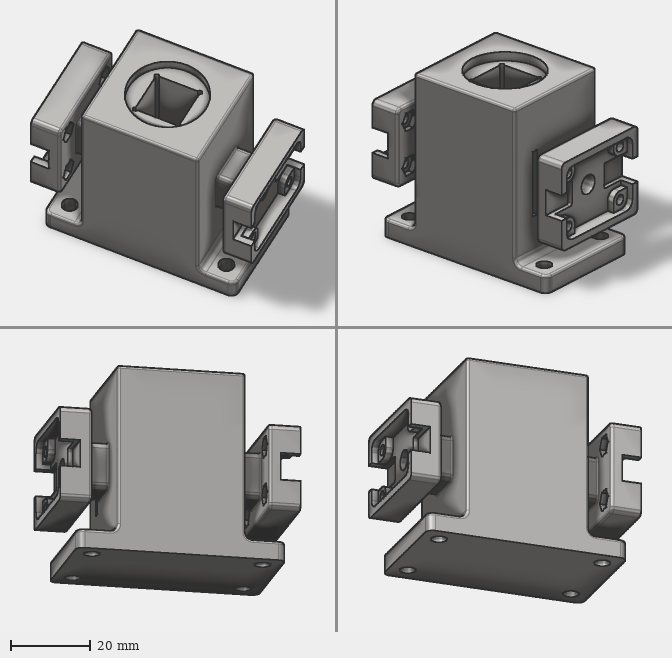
import cadquery as cq
import math

depth = 32.0
total_height = 48.5
base_length = 53.8
base_thickness = 5.0
body_length = 33.0
base_corner_radius = 2.0
base_blend_radius = 2.0
outer_edge_radius = 0.75
base_hole_diameter = 4.1
base_hole_x = 22.0
base_hole_y = 11.0

top_recess_diameter = 21.5
top_recess_depth = 2.5
square_pocket_side = 12.35
corner_relief_radius = 0.6
corner_relief_inset = 0.1

overall_length = 62.0
axis_height = 25.0
aperture_diameter = 2.0
arm_bore_diameter = 5.3

neck_side = 12.0
neck_corner_radius = 1.5
neck_end_radius = 0.5

plate_thickness = 8.25
plate_width = 29.95
left_plate_height = 24.5
right_plate_height = 22.15
plate_corner_radius = 1.5
plate_edge_radius = 0.8
wall_thickness = 2.05
cavity_depth = 3.8
cavity_corner_radius = 2.5
pad_side = 5.3
pad_height = 2.0
slot_height = 7.05
slot_depth = 5.15
slot_inner_y = 6.3
slot_corner_radius = 0.6
screw_hole_diameter = 2.7
screw_hole_inset = 4.85
nut_sides = 6
nut_across_flats = 5.0
nut_depth = 1.6

groove_width = 1.75
groove_center_y = 8.0
groove_length = 18.0
groove_depth = 2.0

plate_inner_x = overall_length / 2 - plate_thickness
body_face_x = body_length / 2
tolerance = 0.005


def x_block(x_start, x_end, y_center, z_center, width, height):
    """Box from x_start to x_end, placed relative to the beam axis."""
    return (
        cq.Workplane("XY")
        .box(x_end - x_start, width, height, centered=(False, True, True))
        .translate((x_start, y_center, axis_height + z_center))
    )


def x_rod(x_start, x_end, diameter, y_center=0.0, z_center=0.0):
    """Cylinder along X, placed relative to the beam axis."""
    return (
        cq.Workplane("YZ")
        .circle(diameter / 2)
        .extrude(x_end - x_start)
        .translate((x_start, y_center, axis_height + z_center))
    )


def make_housing():
    """Base and body with a concave blend between them and rounded outer edges."""
    half_base = base_length / 2
    blend = base_blend_radius
    sag = blend * (1 - math.sqrt(0.5))
    housing = (
        cq.Workplane("XZ")
        .moveTo(-half_base, 0)
        .lineTo(half_base, 0)
        .lineTo(half_base, base_thickness)
        .lineTo(body_face_x + blend, base_thickness)
        .threePointArc(
            (body_face_x + sag, base_thickness + sag),
            (body_face_x, base_thickness + blend),
        )
        .lineTo(body_face_x, total_height)
        .lineTo(-body_face_x, total_height)
        .lineTo(-body_face_x, base_thickness + blend)
        .threePointArc(
            (-body_face_x - sag, base_thickness + sag),
            (-body_face_x - blend, base_thickness),
        )
        .lineTo(-half_base, base_thickness)
        .close()
        .extrude(depth / 2, both=True)
    )
    housing = housing.edges("|Z and (<X or >X)").fillet(base_corner_radius)

    def is_outer_edge(edge):
        center = edge.Center()
        on_base_walls = center.z < base_thickness - tolerance
        parallel_to_y = edge.geomType() == "LINE" and abs(edge.tangentAt(0).y) > 0.6 - tolerance
        on_top = center.z > total_height - tolerance
        on_base_end = abs(center.x) > half_base - tolerance
        bounds_blend = parallel_to_y and not (on_top or on_base_end)
        return not (on_base_walls or bounds_blend)

    return housing.edges().filter(is_outer_edge).fillet(outer_edge_radius)


def cut_base_holes(part):
    return part.cut(
        cq.Workplane("XY")
        .rect(2 * base_hole_x, 2 * base_hole_y, forConstruction=True)
        .vertices()
        .circle(base_hole_diameter / 2)
        .extrude(base_thickness)
    )


def make_top_pocket():
    """Round recess over a square pocket that reaches half its side below the beam axis."""
    floor_z = axis_height - square_pocket_side / 2
    square_height = total_height - top_recess_depth - floor_z
    floor = cq.Workplane("XY").workplane(offset=floor_z)
    square = floor.rect(square_pocket_side, square_pocket_side).extrude(square_height)
    relief_spacing = square_pocket_side - 2 * corner_relief_inset
    reliefs = (
        floor.rect(relief_spacing, relief_spacing, forConstruction=True)
        .vertices()
        .circle(corner_relief_radius)
        .extrude(square_height)
    )
    recess = (
        cq.Workplane("XY")
        .workplane(offset=total_height - top_recess_depth)
        .circle(top_recess_diameter / 2)
        .extrude(top_recess_depth)
    )
    return recess.union(square).union(reliefs)


def make_neck():
    """Square neck from the body to the plate, flared at both ends."""
    neck = x_block(body_face_x, plate_inner_x, 0, 0, neck_side, neck_side)
    neck = neck.edges("|X").fillet(neck_corner_radius)
    flange_side = neck_side + 4 * neck_end_radius
    for flange_start in (body_face_x - neck_end_radius, plate_inner_x):
        flange_end = flange_start + neck_end_radius
        neck = neck.union(x_block(flange_start, flange_end, 0, 0, flange_side, flange_side))
    reach = neck_side / 2 + tolerance
    neck_region = cq.selectors.BoxSelector(
        (body_face_x - tolerance, -reach, axis_height - reach),
        (plate_inner_x + tolerance, reach, axis_height + reach),
        boundingbox=True,
    )
    return neck.edges(neck_region).edges("not |X").fillet(neck_end_radius)


def make_plate(height):
    """Plate on the +X end, with its open cavity, corner pads, side slots and screw holes."""
    outer_x = overall_length / 2
    cavity_floor_x = outer_x - cavity_depth
    cavity_width = plate_width - 2 * wall_thickness
    cavity_height = height - 2 * wall_thickness

    plate = x_block(plate_inner_x, outer_x, 0, 0, plate_width, height)
    plate = plate.edges("|X").fillet(plate_corner_radius)
    plate = plate.faces("<X").edges().fillet(plate_edge_radius)

    cavity = x_block(cavity_floor_x, outer_x, 0, 0, cavity_width, cavity_height)
    cavity = cavity.edges("|X").fillet(cavity_corner_radius)
    for side_y in (-1, 1):
        for side_z in (-1, 1):
            pad = x_block(
                cavity_floor_x,
                cavity_floor_x + pad_height,
                side_y * (cavity_width - pad_side) / 2,
                side_z * (cavity_height - pad_side) / 2,
                pad_side,
                pad_side,
            )
            inner_y = "<Y" if side_y > 0 else ">Y"
            inner_z = "<Z" if side_z > 0 else ">Z"
            pad = pad.faces(inner_y).edges(inner_z).fillet(cavity_corner_radius)
            cavity = cavity.cut(pad)
    plate = plate.cut(cavity)

    slot_length = plate_width / 2 - slot_inner_y
    for side_y in (-1, 1):
        slot_y = side_y * (slot_inner_y + slot_length / 2)
        slot = x_block(outer_x - slot_depth, outer_x, slot_y, 0, slot_length, slot_height)
        slot = slot.edges("|X").edges("<Y" if side_y > 0 else ">Y").fillet(slot_corner_radius)
        plate = plate.cut(slot)

    nut_across_corners = nut_across_flats / math.cos(math.pi / nut_sides)
    for side_y in (-1, 1):
        for side_z in (-1, 1):
            hole_y = side_y * (plate_width / 2 - screw_hole_inset)
            hole_z = side_z * (height / 2 - screw_hole_inset)
            plate = plate.cut(x_rod(plate_inner_x, outer_x, screw_hole_diameter, hole_y, hole_z))
            nut = (
                cq.Workplane("YZ")
                .polygon(nut_sides, nut_across_corners)
                .extrude(nut_depth)
                .translate((plate_inner_x, hole_y, axis_height + hole_z))
            )
            plate = plate.cut(nut)
    return plate


def make_arm(plate_height):
    """Neck and plate on the +X side, bored along the beam axis."""
    arm = make_neck().union(make_plate(plate_height))
    return arm.cut(x_rod(body_face_x, overall_length / 2, arm_bore_diameter))


right_arm = make_arm(right_plate_height)
left_arm = make_arm(left_plate_height).mirror("YZ")
groove = x_block(
    -body_face_x,
    -body_face_x + groove_depth,
    groove_center_y,
    0,
    groove_width,
    groove_length,
)

result = cut_base_holes(make_housing()).union(right_arm).union(left_arm)
result = result.cut(make_top_pocket()).cut(groove)
result = result.cut(x_rod(-overall_length / 2, overall_length / 2, aperture_diameter))